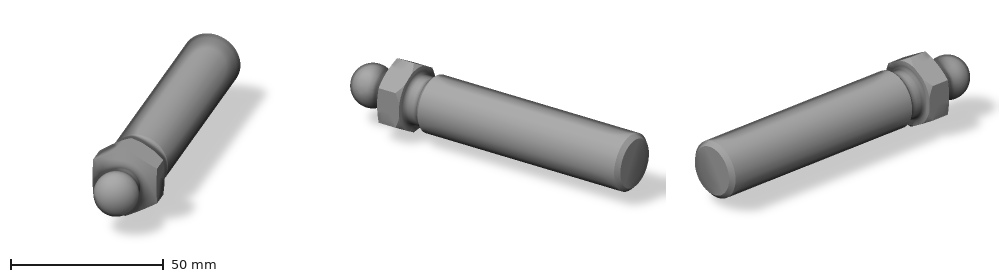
import cadquery as cq
import math

total_length = 110.0
ball_diameter = 15.0
neck_diameter = 12.0
shank_diameter = 20.0
end_chamfer = 1.5

hex_across_flats = 22.0
hex_cone_angle = 20.0
hex_corner_chamfer = 1.5

relief_diameter = 16.8
relief_fillet = 1.0

hex_front_from_tip = 14.5
hex_rear_from_tip = 25.0
relief_end_from_tip = 30.0

ball_radius = ball_diameter / 2
neck_radius = neck_diameter / 2
shank_radius = shank_diameter / 2
relief_radius = relief_diameter / 2
shoulder_length = shank_radius - relief_radius
hex_corner_radius = hex_across_flats / math.sqrt(3)

tip_y = -ball_radius
hex_front_y = tip_y + hex_front_from_tip
hex_rear_y = tip_y + hex_rear_from_tip
relief_end_y = tip_y + relief_end_from_tip
shank_end_y = tip_y + total_length


def make_ball_and_neck():
    ball = cq.Workplane("XY").sphere(ball_radius)
    neck = cq.Workplane("XZ").circle(neck_radius).extrude(-hex_front_y)
    return ball.union(neck)


def make_hexagon():
    """Hexagon with corners on the Z axis, trimmed by a turned envelope."""
    height = hex_rear_y - hex_front_y
    corners = [
        (
            hex_corner_radius * math.sin(math.radians(angle)),
            hex_corner_radius * math.cos(math.radians(angle)),
        )
        for angle in range(0, 360, 60)
    ]
    prism = (
        cq.Workplane("XZ", origin=(0, hex_front_y, 0))
        .polyline(corners)
        .close()
        .extrude(-height)
    )
    cone_depth = (hex_corner_radius - neck_radius) * math.tan(math.radians(hex_cone_angle))
    envelope = (
        cq.Workplane("XY")
        .moveTo(0, hex_front_y)
        .lineTo(neck_radius, hex_front_y)
        .lineTo(hex_corner_radius, hex_front_y + cone_depth)
        .lineTo(hex_corner_radius, hex_rear_y - hex_corner_chamfer)
        .lineTo(hex_corner_radius - hex_corner_chamfer, hex_rear_y)
        .lineTo(0, hex_rear_y)
        .close()
        .revolve(360, (0, 0, 0), (0, 1, 0))
    )
    return prism.intersect(envelope)


def make_shank():
    """Turned shank with an undercut relief next to the hexagon."""
    fillet_center_radius = relief_radius + relief_fillet
    fillet_end_y = hex_rear_y + relief_fillet
    fillet_mid = relief_fillet * math.sqrt(0.5)
    return (
        cq.Workplane("XY")
        .moveTo(0, hex_rear_y)
        .lineTo(fillet_center_radius, hex_rear_y)
        .threePointArc(
            (fillet_center_radius - fillet_mid, fillet_end_y - fillet_mid),
            (relief_radius, fillet_end_y),
        )
        .lineTo(relief_radius, relief_end_y)
        .lineTo(shank_radius, relief_end_y + shoulder_length)
        .lineTo(shank_radius, shank_end_y - end_chamfer)
        .lineTo(shank_radius - end_chamfer, shank_end_y)
        .lineTo(0, shank_end_y)
        .close()
        .revolve(360, (0, 0, 0), (0, 1, 0))
    )


result = make_ball_and_neck().union(make_hexagon()).union(make_shank())